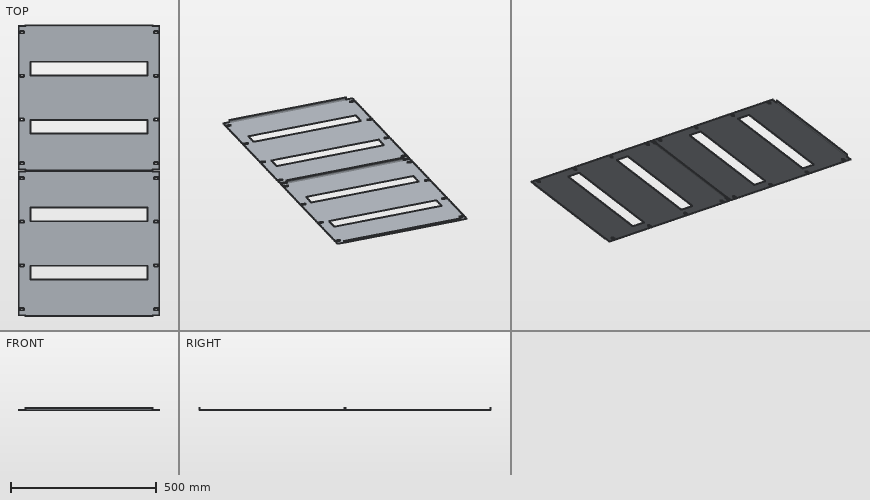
import cadquery as cq

total_length = 998.0
panel_width = 482.0
panel_gap = 2.0
panel_length = (total_length - panel_gap) / 2
panel_pitch = panel_length + panel_gap

sheet_thickness = 1.0
lip_height = 8.0
lip_inset = 23.0
lip_length = panel_width - 2 * lip_inset
bend_radius = 1.0
outer_bend_radius = bend_radius + sheet_thickness
corner_setback = 2.5

window_width = 400.0
window_length = 46.0
window_spacing = 200.0
window_count = 2

slot_length = 15.0
slot_width = 7.0
slot_edge_distance = 11.0
slot_spacing = 150.0
slots_per_side = 4


def make_rounded_block(length_y, corner_radius):
    """Block as wide and tall as the lips, standing on Z = 0, with its two bottom X edges rounded."""
    block = cq.Workplane("XY").box(lip_length, length_y, lip_height, centered=(True, True, False))
    return block.edges("|X and <Z").fillet(corner_radius)


def make_tray():
    """Flat sheet with set-back corners and a lip bent up at its front and rear edges."""
    flat_sheet = cq.Workplane("XY").box(
        panel_width, panel_length - 2 * corner_setback, sheet_thickness, centered=(True, True, False)
    )
    outside = make_rounded_block(panel_length, outer_bend_radius)
    inside = make_rounded_block(panel_length - 2 * sheet_thickness, bend_radius)
    folded_sheet = outside.cut(inside.translate((0, 0, sheet_thickness)))
    return flat_sheet.union(folded_sheet)


def make_windows():
    """Cutters for the rectangular openings."""
    return (
        cq.Workplane("XY")
        .rarray(10, window_spacing, 1, window_count)
        .rect(window_width, window_length)
        .extrude(sheet_thickness)
    )


def make_slots():
    """Cutters for the round-ended slots beside both side edges."""
    column_spacing = panel_width - 2 * slot_edge_distance
    return (
        cq.Workplane("XY")
        .rarray(column_spacing, slot_spacing, 2, slots_per_side)
        .slot2D(slot_length, slot_width)
        .extrude(sheet_thickness)
    )


def make_panel(center_y):
    """One complete panel centred at the given Y position."""
    panel = make_tray().cut(make_windows()).cut(make_slots())
    return panel.translate((0, center_y, 0))


panels = []
for side in (-1, 1):
    panels.append(make_panel(side * panel_pitch / 2).val())

result = cq.Compound.makeCompound(panels)